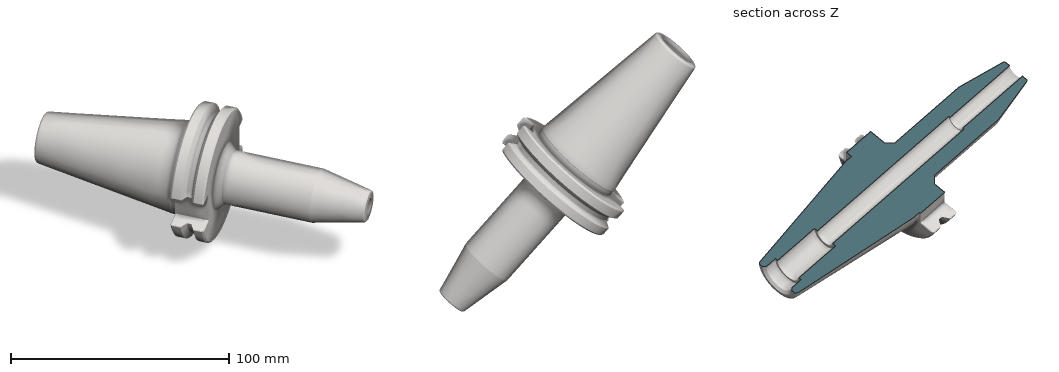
import cadquery as cq

length = 157.2
rear_x = -length / 2
front_x = length / 2
gauge_x = rear_x + 68.4
flange_rear_x = gauge_x + 2.8
flange_front_x = flange_rear_x + 16.0
neck_x = flange_front_x + 3.3
nose_x = rear_x + 132.7

gauge_radius = 22.0
taper_slope = 7 / 48
collar_radius = 43.7 / 2
collar_step = 0.3
rear_round = 1.4

flange_radius = 63.5 / 2
flange_chamfer = 0.8
groove_x = flange_rear_x + 8.2
groove_floor_radius = 28.5
groove_floor_width = 2.0
groove_mouth_width = 6.1

slot_width = 16.4
slot_chamfer = 0.4
slot_floor_left = 25.0
slot_floor_right = 22.5

neck_radius = 25.5 / 2
neck_root_radius = neck_radius + (neck_x - flange_front_x)
nose_radius = 7.5
nose_chamfer = 0.5

mouth_radius = 9.3
mouth_depth = 1.3
pilot_radius = 16.2 / 2
pilot_end_x = rear_x + 7.2
thread_radius = 13.4 / 2
thread_end_x = rear_x + 31.5
relief_radius = 9.6 / 2
relief_end_x = rear_x + 118.0
tool_bore_radius = 8.0 / 2

tolerance = 0.02


def revolve_about_x(outline):
    """Turn a closed outline of (x, radius) points around the X axis."""
    return outline.close().revolve(360, (0, 0, 0), (1, 0, 0))


def make_shank():
    """Taper, collar, neck and nose as one solid, without the flange."""
    rear_radius = gauge_radius - taper_slope * (gauge_x - rear_x)
    outline = (
        cq.Workplane("XY")
        .moveTo(rear_x, 0)
        .lineTo(rear_x, rear_radius)
        .lineTo(gauge_x, gauge_radius)
        .lineTo(gauge_x + collar_step, collar_radius)
        .lineTo(flange_front_x, collar_radius)
        .lineTo(flange_front_x, neck_root_radius)
        .lineTo(neck_x, neck_radius)
        .lineTo(nose_x, neck_radius)
        .lineTo(front_x - nose_chamfer, nose_radius)
        .lineTo(front_x, nose_radius - nose_chamfer)
        .lineTo(front_x, 0)
    )
    return revolve_about_x(outline).faces("<X").edges().fillet(rear_round)


def make_grooved_disc():
    """Flange disc with bevelled rims and the V-shaped gripper groove."""
    half_floor = groove_floor_width / 2
    half_mouth = groove_mouth_width / 2
    rim_radius = flange_radius - flange_chamfer
    outline = (
        cq.Workplane("XY")
        .moveTo(flange_rear_x, 0)
        .lineTo(flange_rear_x, rim_radius)
        .lineTo(flange_rear_x + flange_chamfer, flange_radius)
        .lineTo(groove_x - half_mouth, flange_radius)
        .lineTo(groove_x - half_floor, groove_floor_radius)
        .lineTo(groove_x + half_floor, groove_floor_radius)
        .lineTo(groove_x + half_mouth, flange_radius)
        .lineTo(flange_front_x - flange_chamfer, flange_radius)
        .lineTo(flange_front_x, rim_radius)
        .lineTo(flange_front_x, 0)
    )
    return revolve_about_x(outline)


def make_bore():
    outline = (
        cq.Workplane("XY")
        .moveTo(rear_x, 0)
        .lineTo(rear_x, mouth_radius)
        .lineTo(rear_x + mouth_depth, pilot_radius)
        .lineTo(pilot_end_x, pilot_radius)
        .lineTo(pilot_end_x, thread_radius)
        .lineTo(thread_end_x, thread_radius)
        .lineTo(thread_end_x, relief_radius)
        .lineTo(relief_end_x, relief_radius)
        .lineTo(relief_end_x, tool_bore_radius)
        .lineTo(front_x, tool_bore_radius)
        .lineTo(front_x, 0)
    )
    return revolve_about_x(outline)


def make_drive_slot(floor_y, side):
    """Block outside one slot floor; side is +1 for +Y and -1 for -Y."""
    slot_length = flange_front_x - flange_rear_x
    slot_depth = flange_radius - floor_y
    return cq.Workplane("XY").box(slot_length, slot_depth, slot_width).translate(
        ((flange_rear_x + flange_front_x) / 2, side * (floor_y + slot_depth / 2), 0)
    )


def make_slotted_disc():
    """Plain disc with both drive slots, their side walls bevelled at the open edges."""
    disc = (
        cq.Workplane("YZ", origin=(flange_rear_x, 0, 0))
        .circle(flange_radius)
        .extrude(flange_front_x - flange_rear_x)
    )
    disc = disc.cut(make_drive_slot(slot_floor_left, 1))
    disc = disc.cut(make_drive_slot(slot_floor_right, -1))

    def is_open_wall_edge(edge):
        centre = edge.Center()
        on_wall = abs(abs(centre.z) - slot_width / 2) < tolerance
        on_left_floor = abs(centre.y - slot_floor_left) < tolerance
        on_right_floor = abs(centre.y + slot_floor_right) < tolerance
        return on_wall and not on_left_floor and not on_right_floor

    open_edges = disc.edges().filter(is_open_wall_edge)
    return open_edges.chamfer(slot_chamfer)


flange = make_grooved_disc().intersect(make_slotted_disc())
result = make_shank().union(flange).cut(make_bore())